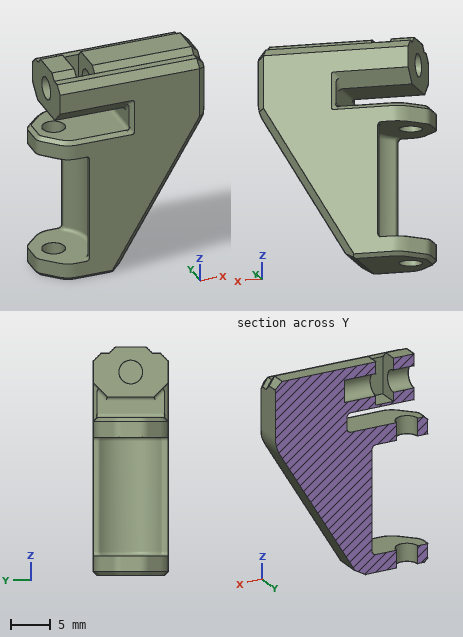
import cadquery as cq
import math

LENGTH = 22.0
WIDTH = 9.5
HEIGHT = 28.93
HALF_WIDTH = WIDTH / 2

ARM_FRONT_X = 2.0
RIB_HALF_WIDTH = 1.95
RIB_HEIGHT = 0.8
RIB_FLARE = RIB_HEIGHT
ARM_TOP_BEVEL = 1.0
ARM_BOTTOM_BEVEL = 1.8
ARM_DEPTH = 6.33
SHOULDER_Z = HEIGHT - RIB_HEIGHT
ARM_BOTTOM_Z = HEIGHT - ARM_DEPTH

HOLE_DIAMETER = 3.0
SCREW_AXIS_DEPTH = 3.18
SCREW_Z = HEIGHT - SCREW_AXIS_DEPTH
SCREW_HOLE_DEPTH = 10.0
NUT_WIDTH = 2 * (RIB_HALF_WIDTH + RIB_FLARE)
NUT_POCKET_FRONT_X = 5.0
NUT_POCKET_LENGTH = 2.5
NUT_POCKET_FLOOR_Z = SCREW_Z - NUT_WIDTH / 2

GAP_FLOOR_Z = 20.0
GAP_END_X = 11.6

PIN_X = 3.0
LUG_THICKNESS = 2.5
LUG_CORNER_CUT = 3.0
LUG_TIP_RADIUS = 1.5
LUG_SIDE_RADIUS = 3.0
POCKET_FRONT_X = 6.0
POCKET_RADIUS = 5.0
POCKET_BOTTOM_Z = LUG_THICKNESS
POCKET_TOP_Z = GAP_FLOOR_Z - LUG_THICKNESS

FOOT_LENGTH = 10.0
SLOPE_TOP_Z = 20.0
BACK_BEND_RADIUS = 5.0

BACK_CHAMFER = 1.0
EDGE_CHAMFER = 0.5
INNER_FILLET = 0.5

TOL = 0.01


def side_outline():
    """Side outline with a plain square front and sloping back."""
    return (
        cq.Workplane("XZ")
        .polyline([
            (0, 0),
            (FOOT_LENGTH, 0),
            (LENGTH, SLOPE_TOP_Z),
            (LENGTH, HEIGHT),
            (0, HEIGHT),
        ])
        .close()
        .extrude(HALF_WIDTH, both=True)
    )


def cross_section():
    """Stepped top profile running the whole length in X."""
    right_side = [
        (HALF_WIDTH, 0),
        (HALF_WIDTH, SHOULDER_Z - ARM_TOP_BEVEL),
        (HALF_WIDTH - ARM_TOP_BEVEL, SHOULDER_Z),
        (RIB_HALF_WIDTH + RIB_FLARE, SHOULDER_Z),
        (RIB_HALF_WIDTH, HEIGHT),
    ]
    left_side = [(-y, z) for y, z in reversed(right_side)]
    return cq.Workplane("YZ").polyline(right_side + left_side).close().extrude(LENGTH)


def blank():
    """Solid body with its back chamfered all around and the bend in the back rounded."""
    body = side_outline().intersect(cross_section())
    slope_middle = ((FOOT_LENGTH + LENGTH) / 2, 0, SLOPE_TOP_Z / 2)
    slope = body.faces(cq.selectors.NearestToPointSelector(slope_middle))
    slope_edges = slope.edges("not >Z")
    upright_edges = body.faces(">X").edges("not <Z")
    chamfered = slope_edges.add(upright_edges).chamfer(BACK_CHAMFER)

    bend_middle = (LENGTH, 0, SLOPE_TOP_Z)
    bend = chamfered.edges("|Y").edges(cq.selectors.NearestToPointSelector(bend_middle))
    return bend.fillet(BACK_BEND_RADIUS)


def lug_trim():
    """Material outside the rounded lug tips, below the arm."""
    slab = cq.Workplane("XY").box(LUG_CORNER_CUT * 2, WIDTH, GAP_FLOOR_Z, centered=(False, True, False))
    tip = (
        slab.edges("|Z and <X").chamfer(LUG_CORNER_CUT)
        .edges("|Z and <X").fillet(LUG_TIP_RADIUS)
    )
    side_corners = [
        cq.selectors.NearestToPointSelector((LUG_CORNER_CUT, y, GAP_FLOOR_Z / 2))
        for y in (-HALF_WIDTH, HALF_WIDTH)
    ]
    tip = tip.edges(side_corners[0] + side_corners[1]).fillet(LUG_SIDE_RADIUS)
    return slab.cut(tip)


def gap():
    """Space under the arm, whose ceiling is the bevelled underside of the arm."""
    bevel_inset = HALF_WIDTH - ARM_BOTTOM_BEVEL
    bevel_top_z = ARM_BOTTOM_Z + ARM_BOTTOM_BEVEL
    return (
        cq.Workplane("YZ")
        .polyline([
            (-HALF_WIDTH, GAP_FLOOR_Z),
            (HALF_WIDTH, GAP_FLOOR_Z),
            (HALF_WIDTH, bevel_top_z),
            (bevel_inset, ARM_BOTTOM_Z),
            (-bevel_inset, ARM_BOTTOM_Z),
            (-HALF_WIDTH, bevel_top_z),
        ])
        .close()
        .extrude(GAP_END_X)
    )


def arm_front_trim():
    """Material ahead of the arm's front face."""
    return (
        cq.Workplane("XY", origin=(0, 0, GAP_FLOOR_Z))
        .box(ARM_FRONT_X, WIDTH, HEIGHT - GAP_FLOOR_Z, centered=(False, True, False))
    )


def pocket():
    """Clearance between the lugs: a cylinder about the pin opened out to the front."""
    depth = POCKET_TOP_Z - POCKET_BOTTOM_Z
    base = cq.Workplane("XY", origin=(0, 0, POCKET_BOTTOM_Z))
    front = base.box(POCKET_FRONT_X, WIDTH, depth, centered=(False, True, False))
    round_part = base.center(PIN_X, 0).circle(POCKET_RADIUS).extrude(depth)
    return front.union(round_part)


def box_between(x_range, y_limit, z_range):
    """Selector for items centred in the given X and Z ranges and within y_limit of the mid plane."""
    return cq.selectors.BoxSelector(
        (x_range[0] - TOL, -y_limit - TOL, z_range[0] - TOL),
        (x_range[1] + TOL, y_limit + TOL, z_range[1] + TOL),
    )


def blend_pocket(body):
    """Round the pocket's two mouth corners, then its floor and ceiling."""
    mouth_half_width = math.sqrt(POCKET_RADIUS ** 2 - (POCKET_FRONT_X - PIN_X) ** 2)
    mouth = box_between((POCKET_FRONT_X,) * 2, mouth_half_width, (POCKET_BOTTOM_Z, POCKET_TOP_Z))
    body = body.edges("|Z").edges(mouth).fillet(INNER_FILLET)

    wall_x = (POCKET_FRONT_X - INNER_FILLET, PIN_X + POCKET_RADIUS)
    floor = box_between(wall_x, HALF_WIDTH, (POCKET_BOTTOM_Z,) * 2)
    ceiling = box_between(wall_x, HALF_WIDTH, (POCKET_TOP_Z,) * 2)
    return body.edges(floor + ceiling).edges("not(|X)").fillet(INNER_FILLET)


def blend_gap(body):
    """Chamfer the rim of the upper lug and the gap's end wall, then round the wall's inner corners."""
    wall_x = (GAP_END_X,) * 2
    lug_rim = body.edges(box_between((0, GAP_END_X - EDGE_CHAMFER), HALF_WIDTH, (GAP_FLOOR_Z,) * 2))
    wall_sides = body.edges("|Z").edges(box_between(wall_x, HALF_WIDTH, (GAP_FLOOR_Z, HEIGHT)))
    body = lug_rim.add(wall_sides).chamfer(EDGE_CHAMFER)

    corner_x = (GAP_END_X, GAP_END_X + EDGE_CHAMFER - 2 * TOL)
    corner_z = (GAP_FLOOR_Z - EDGE_CHAMFER, ARM_BOTTOM_Z + ARM_BOTTOM_BEVEL - 2 * TOL)
    corners = body.edges(box_between(corner_x, HALF_WIDTH, corner_z)).edges("not(|Z)")
    return corners.fillet(INNER_FILLET)


def chamfer_underside(body):
    """Chamfer the underside along the lug tip and both sides; the back is already chamfered."""
    side_end_x = FOOT_LENGTH - BACK_CHAMFER - EDGE_CHAMFER
    rim = box_between((0, side_end_x), HALF_WIDTH, (0, 0))
    return body.edges(rim).chamfer(EDGE_CHAMFER)


def pin_hole():
    """Vertical hole through both lugs."""
    return cq.Workplane("XY").center(PIN_X, 0).circle(HOLE_DIAMETER / 2).extrude(GAP_FLOOR_Z)


def screw_hole():
    """Blind hole along the arm from its front face."""
    return (
        cq.Workplane("YZ", origin=(ARM_FRONT_X, 0, SCREW_Z))
        .circle(HOLE_DIAMETER / 2)
        .extrude(SCREW_HOLE_DEPTH)
    )


def nut_pocket():
    """Slot dropped through the rib to hold a nut on the screw axis."""
    return (
        cq.Workplane("XY", origin=(NUT_POCKET_FRONT_X, 0, NUT_POCKET_FLOOR_Z))
        .box(NUT_POCKET_LENGTH, NUT_WIDTH, HEIGHT - NUT_POCKET_FLOOR_Z, centered=(False, True, False))
    )


body = blank().cut(gap()).cut(arm_front_trim()).cut(lug_trim()).cut(pocket())
body = chamfer_underside(blend_gap(blend_pocket(body)))
result = body.cut(pin_hole()).cut(screw_hole()).cut(nut_pocket())